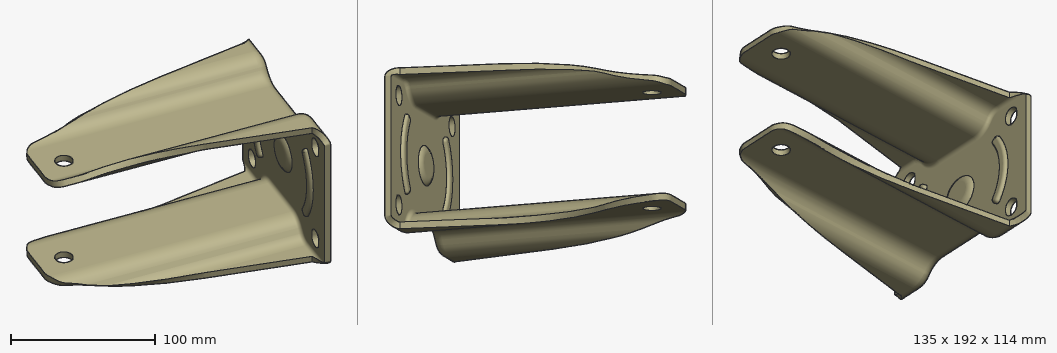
import cadquery as cq
import math

plate_width = 135.0
height = 114.0
arm_length = 192.0
thickness = 4.8
bend_radius = 7.7

step_depth = 13.6
left_channel_edge = 21.0
left_slope_angle = 54.0
left_floor_radius = 14.4
left_crest_radius = 14.4
right_channel_edge = 16.9
right_slope_angle = 53.0
right_floor_radius = 10.2
right_crest_radius = 15.5

left_root = 58.0
right_root = 53.5
left_tip = 25.2
right_tip = 20.7
root_arc_rise = 1.0
tip_radius = 11.5

pivot_diameter = 12.7
pivot_to_tip = 20.0
slot_width = 11.3
slot_length = 13.8
slot_spacing_x = 104.6
slot_spacing_z = 77.4

emboss_height = 2.5
boss_diameter = 28.2
boss_flat_diameter = 17.5
ridge_radius = 45.3
ridge_width = 7.5
ridge_half_angle = 37.0
ridge_end_radius = 2.5
ridge_rounding = 2.3

overrun = 9.6


def step_points(channel_edge, angle_deg, floor_radius, crest_radius):
    """Points from channel floor up to wing as (distance from X = 0, Z), with arc midpoints."""
    angle = math.radians(angle_deg)
    floor_z = height / 2 - step_depth
    crest_z = height / 2
    arcs_rise = (floor_radius + crest_radius) * (1 - math.cos(angle))
    slope_run = (step_depth - arcs_rise) / math.tan(angle)
    crest_edge = channel_edge + (floor_radius + crest_radius) * math.sin(angle) + slope_run

    def on_floor_arc(a):
        return channel_edge + floor_radius * math.sin(a), floor_z + floor_radius * (1 - math.cos(a))

    def on_crest_arc(a):
        return crest_edge - crest_radius * math.sin(a), crest_z - crest_radius * (1 - math.cos(a))

    return [on_floor_arc(0), on_floor_arc(angle / 2), on_floor_arc(angle),
            on_crest_arc(angle), on_crest_arc(angle / 2), on_crest_arc(0)]


def mirrored(points, sign_x, sign_z):
    """The same points in reverse order, flipped along the axes whose sign is -1."""
    return [(sign_x * x, sign_z * z) for x, z in reversed(points)]


def add_step(outline, points):
    """Run the outline through one step: arc, straight slope, arc."""
    start, first_middle, slope_start, slope_end, last_middle, end = points
    return (
        outline.lineTo(*start)
        .threePointArc(first_middle, slope_start)
        .lineTo(*slope_end)
        .threePointArc(last_middle, end)
    )


def outer_section():
    """Closed XZ outline through the outer skins of both arms, clockwise from the upper left corner."""
    upper_right = step_points(right_channel_edge, right_slope_angle,
                              right_floor_radius, right_crest_radius)
    left_rising = step_points(left_channel_edge, left_slope_angle,
                              left_floor_radius, left_crest_radius)
    upper_left = mirrored(left_rising, -1, 1)
    half_width = plate_width / 2

    outline = cq.Workplane("XZ").moveTo(-half_width, height / 2)
    outline = add_step(outline, upper_left)
    outline = add_step(outline, upper_right)
    outline = outline.lineTo(half_width, height / 2).lineTo(half_width, -height / 2)
    outline = add_step(outline, mirrored(upper_right, 1, -1))
    outline = add_step(outline, mirrored(upper_left, 1, -1))
    return outline.lineTo(-half_width, -height / 2).close()


def plan_trim():
    """Prism along Z that trims the skin to the tapered plan of the arms."""
    half_width = plate_width / 2

    def bend_middle(root):
        """Middle of the trim arc between the plate edge and the taper, for the +X side."""
        span = half_width - root
        length = math.hypot(span, bend_radius)
        return ((half_width + root) / 2 - root_arc_rise * bend_radius / length,
                -bend_radius / 2 + root_arc_rise * span / length)

    left_x, left_y = bend_middle(left_root)
    return (
        cq.Workplane("XY")
        .moveTo(-half_width, 0)
        .threePointArc((-left_x, left_y), (-left_root, -bend_radius))
        .lineTo(-left_tip, -arm_length)
        .lineTo(right_tip, -arm_length)
        .lineTo(right_root, -bend_radius)
        .threePointArc(bend_middle(right_root), (half_width, 0))
        .close()
        .extrude(height / 2 + overrun, both=True)
        .edges("|Z and <Y").fillet(tip_radius)
    )


def bent_sheet():
    """Outer skin thickened inwards, so every trimmed edge stays square to the sheet."""
    block = outer_section().extrude(arm_length)
    block = block.faces(">Y").edges("not |Z").fillet(bend_radius)
    skin = block.faces("not (<X or >X or <Y)").vals()
    trim = plan_trim().val()
    pieces = []
    for face in skin:
        for piece in face.intersect(trim).Faces():
            pieces.append(piece.thicken(-thickness))
    return cq.Workplane(pieces[0].fuse(*pieces[1:]))


def pivot_holes():
    """One cylinder through both arm tips."""
    return (
        cq.Workplane("XY")
        .center(0, pivot_to_tip - arm_length)
        .circle(pivot_diameter / 2)
        .extrude(height / 2 + overrun, both=True)
    )


def mounting_slots():
    """Four upright slots near the plate corners."""
    return (
        cq.Workplane("XZ")
        .rarray(slot_spacing_x, slot_spacing_z, 2, 2)
        .slot2D(slot_length, slot_width, 90)
        .extrude(thickness + overrun, both=True)
    )


def domed_boss():
    """Round boss whose edge is an arc running tangent into its flat top."""
    flat_radius = boss_flat_diameter / 2
    edge_width = boss_diameter / 2 - flat_radius
    arc_radius = (edge_width ** 2 + emboss_height ** 2) / (2 * emboss_height)
    mid_angle = math.asin(edge_width / arc_radius) / 2
    top_y = -thickness - emboss_height
    arc_middle = (flat_radius + arc_radius * math.sin(mid_angle),
                  top_y + arc_radius * (1 - math.cos(mid_angle)))
    return (
        cq.Workplane("XY")
        .moveTo(0, -thickness / 2)
        .lineTo(0, top_y)
        .lineTo(flat_radius, top_y)
        .threePointArc(arc_middle, (boss_diameter / 2, -thickness))
        .lineTo(boss_diameter / 2, -thickness / 2)
        .close()
        .revolve(360, (0, 0, 0), (0, 1, 0))
    )


def curved_ridge(side):
    """Arc-shaped ridge centred on the boss; side is -1 or +1 along X."""
    angle = math.radians(ridge_half_angle)

    def at(radius, a):
        return side * radius * math.cos(a), radius * math.sin(a)

    inner = ridge_radius - ridge_width / 2
    outer = ridge_radius + ridge_width / 2
    return (
        cq.Workplane("XZ", origin=(0, -thickness, 0))
        .moveTo(*at(inner, -angle))
        .threePointArc(at(inner, 0), at(inner, angle))
        .lineTo(*at(outer, angle))
        .threePointArc(at(outer, 0), at(outer, -angle))
        .close()
        .extrude(emboss_height)
        .edges("|Y").fillet(ridge_end_radius)
        .faces("<Y").edges().fillet(ridge_rounding)
    )


result = bent_sheet().cut(pivot_holes()).cut(mounting_slots())
result = result.union(domed_boss())
for side in (-1, 1):
    result = result.union(curved_ridge(side))